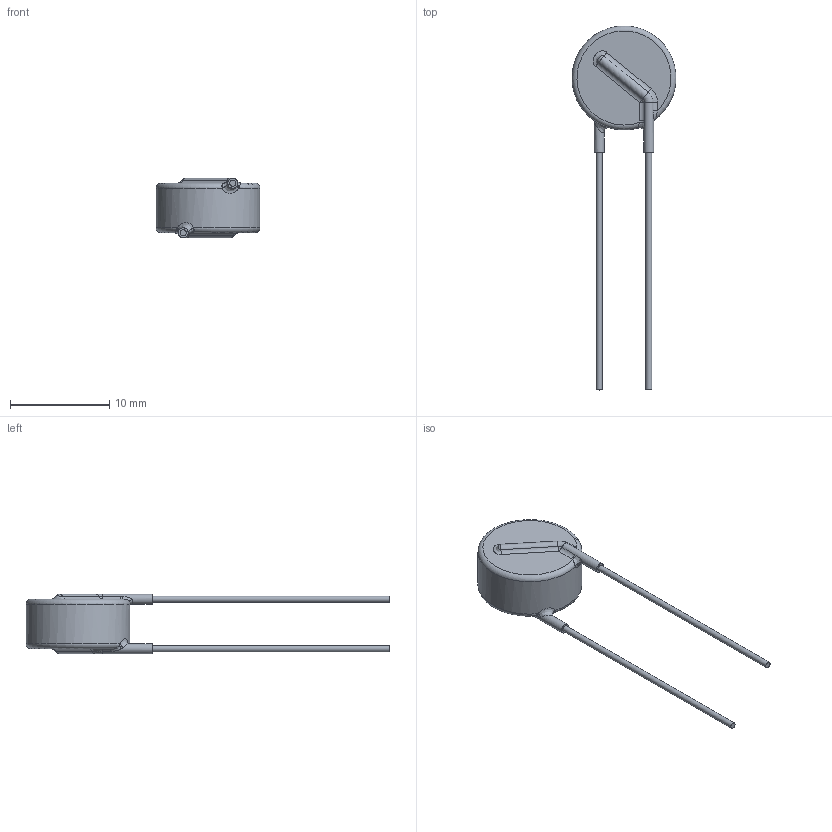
import cadquery as cq
import math

disc_diameter = 10.5
disc_thickness = 5.0
disc_edge_radius = 0.5
face_count = 2

sleeve_diameter = 1.0
sleeve_end_y = -7.5
lead_pitch = 5.0
bend_offset_y = 2.05
bend_radius = 0.9
bead_fillet = 0.55
bead_end_radius = 0.25

wire_diameter = 0.6
wire_length = 24.0

lead_x = lead_pitch / 2
face_z = disc_thickness / 2
sleeve_radius = sleeve_diameter / 2

seam_margin = 0.1
seam_reach = lead_x + sleeve_radius + seam_margin


def flip(shape):
    """Turn a shape half a turn about Y, swapping its top and its underside."""
    return shape.rotate((0, 0, 0), (0, 1, 0), 180)


def make_disc():
    """Disc centred on the origin, rounded at both rims."""
    disc = cq.Workplane("XY").circle(disc_diameter / 2).extrude(disc_thickness)
    disc = disc.translate((0, 0, -face_z))
    return disc.edges("%CIRCLE").fillet(disc_edge_radius)


def make_sleeve():
    """Round bar along the top face: from beside the disc, then bent across its centre."""
    bead_angle = math.atan2(bend_offset_y, lead_x)
    turn = math.pi / 2 - bead_angle
    tangent_length = bend_radius * math.tan(turn / 2)
    bend_start = (lead_x, -bend_offset_y - tangent_length)
    bend_end = (
        lead_x - tangent_length * math.cos(bead_angle),
        -bend_offset_y + tangent_length * math.sin(bead_angle),
    )
    path = (
        cq.Workplane("XY", origin=(0, 0, face_z))
        .moveTo(lead_x, sleeve_end_y)
        .lineTo(*bend_start)
        .tangentArcPoint(bend_end, relative=False)
        .lineTo(-lead_x, bend_offset_y)
    )
    profile = cq.Workplane("XZ", origin=(lead_x, sleeve_end_y, face_z)).circle(sleeve_radius)
    return profile.sweep(path).faces("<X").edges().fillet(bead_end_radius)


def blend_sleeve(disc_with_sleeve):
    """Fillet the line where the top sleeve meets the flat face and the rounded rim."""
    seam_zone = cq.selectors.BoxSelector(
        (-seam_reach, -disc_diameter / 2, face_z - disc_edge_radius - seam_margin),
        (seam_reach, seam_reach, face_z + seam_margin),
        boundingbox=True,
    )
    return disc_with_sleeve.edges(seam_zone).fillet(bead_fillet)


def make_coating():
    """Disc with a blended sleeve on its top face and the same one, turned over, underneath."""
    sleeve = make_sleeve()
    coating = make_disc()
    for _ in range(face_count):
        coating = flip(blend_sleeve(coating.union(sleeve)))
    return coating


def make_wire():
    """Straight bare wire running on from the end of the top sleeve."""
    return (
        cq.Workplane("XZ", origin=(lead_x, sleeve_end_y, face_z))
        .circle(wire_diameter / 2)
        .extrude(wire_length)
    )


coating = make_coating()
wire = make_wire()
wires = []
for _ in range(face_count):
    wires.append(wire.val())
    wire = flip(wire)

result = cq.Compound.makeCompound([coating.val(), *wires])